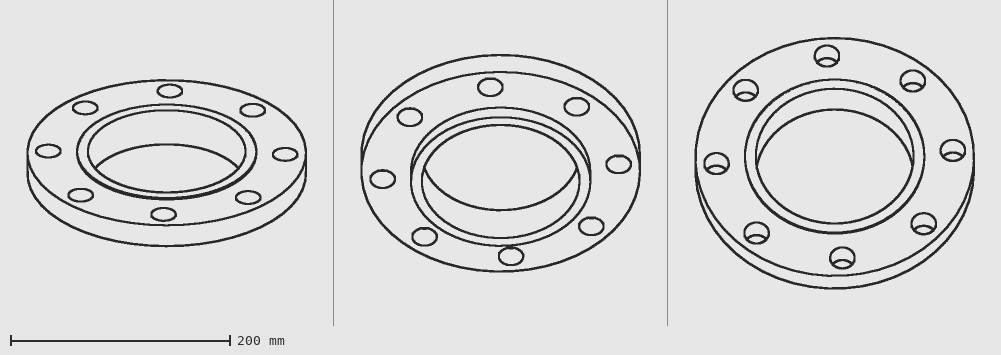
import cadquery as cq

flange_diameter = 254.0
flange_thickness = 22.4

hub_diameter = 163.5
hub_height = 12.7
face_diameter = hub_diameter
face_height = 1.5

bore_diameter = 143.8
total_height = hub_height + flange_thickness + face_height

bolt_count = 8
bolt_circle_diameter = 216.0
bolt_hole_diameter = 22.4
first_bolt_angle = 180 / bolt_count


def cylinder(diameter, height, base_z):
    """Solid cylinder on the Z axis, standing on base_z."""
    return cq.Workplane("XY").workplane(offset=base_z).circle(diameter / 2).extrude(height)


def bolt_holes():
    """Ring of cylinders that cut the bolt holes through the plate."""
    return (
        cq.Workplane("XY")
        .workplane(offset=hub_height)
        .polarArray(bolt_circle_diameter / 2, first_bolt_angle, 360, bolt_count)
        .circle(bolt_hole_diameter / 2)
        .extrude(flange_thickness)
    )


hub = cylinder(hub_diameter, hub_height, 0)
plate = cylinder(flange_diameter, flange_thickness, hub_height)
raised_face = cylinder(face_diameter, face_height, hub_height + flange_thickness)
bore = cylinder(bore_diameter, total_height, 0)

result = hub.union(plate).union(raised_face).cut(bore).cut(bolt_holes())